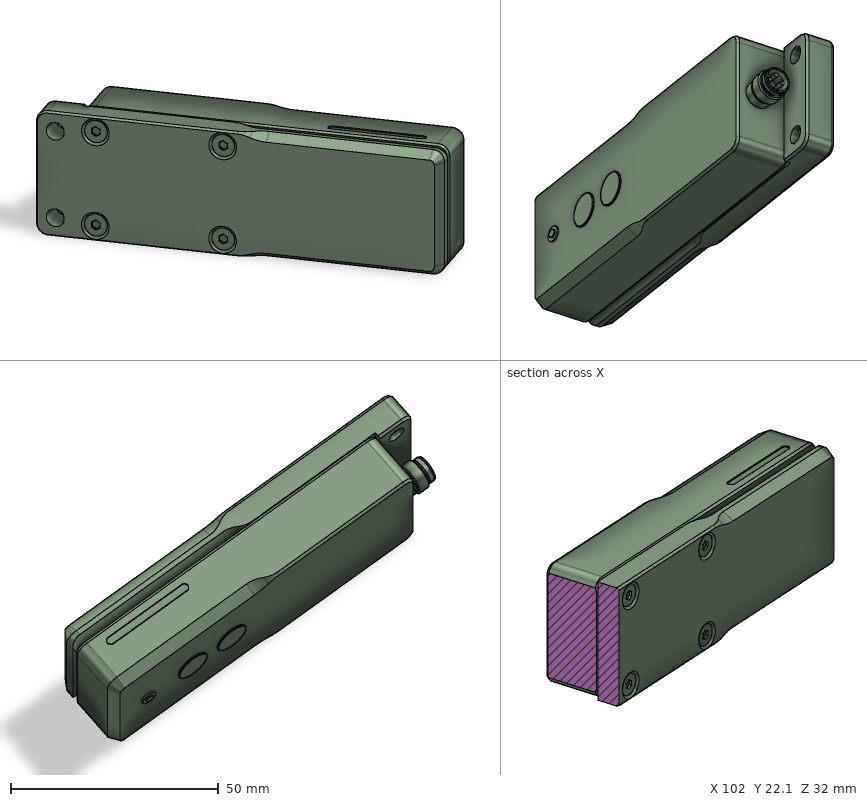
import cadquery as cq
import math


length = 102.0
half_width = 16.0
corner_radius = 3.0
draft_angle = 31.0
draft = math.tan(math.radians(draft_angle))
rim_depth = 0.7
bevel_depth = 2.9

plate_top = 8.1
seat_y = 6.3
plate_flare_start = 50.7
plate_flare_end = 57.9
mount_hole_diameter = 4.5
mount_hole_x = 4.9
mount_hole_z = 11.1

relief_drop = 2.1
relief_width = 4.8
relief_start = 47.7
relief_end = 55.1
relief_end_chamfer = 1.0

screw_columns = (15.0, 47.0)
screw_z = 12.0
countersink_diameter = 6.9
screw_head_diameter = 5.7
screw_recess = 0.5
hex_across_flats = 2.1
hex_depth = 0.6

housing_left = 10.0
housing_top = 21.4
housing_flare_start = 51.4
housing_flare_end = 59.2
side_slot_left = 70.5
side_slot_right = 95.2
side_slot_width = 2.0
side_slot_y = 10.0
side_slot_depth = 0.3

pad_centres = (66.2, 78.1)
pad_diameter = 8.7
pad_height = 0.4
pad_edge_chamfer = 0.2
lamp_x = 91.7
lamp_base_diameter = 4.0
lamp_lens_diameter = 2.1
lamp_height = 0.7

connector_y = 15.4
connector_tip = 1.3
body_diameter = 6.9
tip_diameter = 6.6
tip_ring_start = 1.8
tip_ring_end = 3.1
groove_diameter = 6.4
collar_diameter = 8.0
collar_start = 3.6
collar_end = 6.9
collar_chamfer = 0.36
root_start = 7.5
socket_diameter = 5.8
socket_depth = 4.6
pin_diameter = 1.0
pin_offset = 1.7
pin_recess = 0.6
key_hole_diameter = 1.6
key_hole_depth = 0.5
key_hole_x = 8.8


def level(y, toward=-1):
    """Sketch plane at height y whose normal points along toward * Y."""
    normal = (0, toward, 0)
    return cq.Workplane(cq.Plane(origin=(0, y, 0), xDir=(1, 0, 0), normal=normal))


def rounded_slab(left, y_low, y_high):
    """Full-width slab with rounded corners."""
    return (
        level(y_low, 1)
        .center((left + length) / 2, 0)
        .rect(length - left, 2 * half_width)
        .extrude(y_high - y_low)
        .edges("|Y")
        .fillet(corner_radius)
    )


def tapered_rim(left, y_base, toward, depth):
    """Cap that narrows by the draft angle from the slab outline at y_base."""
    outline = cq.Sketch().rect(length - left, 2 * half_width).vertices().fillet(corner_radius)
    return (
        level(y_base, toward)
        .center((left + length) / 2, 0)
        .placeSketch(outline)
        .extrude(depth, taper=draft_angle)
    )


def flared_cap(left, y_base, toward, flare_start, flare_end):
    """Cap with a narrow rim on the connector end that sweeps into the wide bevel beyond the flare."""
    spread = (bevel_depth - rim_depth) * draft
    wide = half_width + spread
    middle = (flare_start + flare_end) / 2
    half_flare = (flare_end - flare_start) / 2
    sweep_radius = (half_flare**2 + (spread / 2) ** 2) / spread
    left_radius = corner_radius + spread
    envelope = (
        level(y_base, toward)
        .moveTo(left - spread, -wide + left_radius)
        .lineTo(left - spread, wide - left_radius)
        .radiusArc((left - spread + left_radius, wide), left_radius)
        .lineTo(flare_start, wide)
        .radiusArc((middle, half_width + spread / 2), sweep_radius)
        .radiusArc((flare_end, half_width), -sweep_radius)
        .lineTo(length - corner_radius, half_width)
        .radiusArc((length, half_width - corner_radius), corner_radius)
        .lineTo(length, -half_width + corner_radius)
        .radiusArc((length - corner_radius, -half_width), corner_radius)
        .lineTo(flare_end, -half_width)
        .radiusArc((middle, -half_width - spread / 2), -sweep_radius)
        .radiusArc((flare_start, -wide), sweep_radius)
        .lineTo(left - spread + left_radius, -wide)
        .radiusArc((left - spread, -wide + left_radius), left_radius)
        .close()
        .extrude(bevel_depth, taper=draft_angle)
    )
    y_face = y_base + toward * bevel_depth
    return envelope.intersect(rounded_slab(left, min(y_base, y_face), max(y_base, y_face)))


def side_relief(side):
    """Wedge over one long edge of the plate: its flared side profile slides inward up the slope."""
    middle = (relief_start + relief_end) / 2
    half_run = (relief_end - relief_start) / 2
    sweep_radius = (half_run**2 + (relief_drop / 2) ** 2) / relief_drop
    profile = (
        cq.Workplane("XY", origin=(0, 0, side * half_width))
        .moveTo(relief_start, seat_y)
        .radiusArc((middle, seat_y - relief_drop / 2), sweep_radius)
        .radiusArc((relief_end, seat_y - relief_drop), -sweep_radius)
        .lineTo(length, seat_y - relief_drop)
        .lineTo(length, seat_y)
        .close()
    )
    slope = cq.Vector(0, relief_drop, -side * relief_width)
    return cq.Workplane(cq.Solid.extrudeLinear(profile.val(), [], slope))


def mounting_plate():
    plate = flared_cap(0, bevel_depth, -1, plate_flare_start, plate_flare_end)
    plate = plate.union(rounded_slab(0, bevel_depth, plate_top - rim_depth))
    plate = plate.union(tapered_rim(0, plate_top - rim_depth, 1, rim_depth))
    seat_cut = (
        level(seat_y, 1)
        .center((housing_left + length) / 2, 0)
        .rect(length - housing_left, 2 * half_width)
        .extrude(plate_top - seat_y)
    )
    plate = plate.cut(seat_cut)
    end_wedge = (
        cq.Workplane("XY", origin=(0, 0, -half_width))
        .moveTo(length, seat_y)
        .lineTo(length - relief_end_chamfer, seat_y)
        .lineTo(length, seat_y - relief_end_chamfer)
        .close()
        .extrude(2 * half_width)
    )
    plate = plate.cut(end_wedge)
    for side in (-1, 1):
        plate = plate.cut(side_relief(side))
    holes = (
        level(0, 1)
        .pushPoints([(mount_hole_x, -mount_hole_z), (mount_hole_x, mount_hole_z)])
        .circle(mount_hole_diameter / 2)
        .extrude(plate_top)
    )
    return plate.cut(holes)


def screw_recesses():
    """Conical countersinks ending on flat screw heads, each with a hexagon socket."""
    centres = [(x, z) for x in screw_columns for z in (-screw_z, screw_z)]
    taper = math.degrees(math.atan((countersink_diameter - screw_head_diameter) / 2 / screw_recess))
    hex_diameter = hex_across_flats / math.cos(math.pi / 6)
    cones = level(0, 1).pushPoints(centres).circle(countersink_diameter / 2).extrude(screw_recess, taper=taper)
    hexagon = cq.Sketch().regularPolygon(hex_diameter / 2, 6)
    sockets = level(screw_recess, 1).pushPoints(centres).placeSketch(hexagon).extrude(hex_depth)
    return cones.union(sockets)


def housing():
    lower_rim = seat_y + rim_depth
    upper_rim = housing_top - bevel_depth
    body = rounded_slab(housing_left, lower_rim, upper_rim)
    body = body.union(tapered_rim(housing_left, lower_rim, -1, rim_depth))
    body = body.union(flared_cap(housing_left, upper_rim, 1, housing_flare_start, housing_flare_end))
    slot_middle = (side_slot_left + side_slot_right) / 2
    side_slot = (
        cq.Workplane("XY", origin=(slot_middle, side_slot_y, half_width))
        .slot2D(side_slot_right - side_slot_left, side_slot_width)
        .extrude(-side_slot_depth)
    )
    return body.cut(side_slot)


def top_controls():
    """Two push pads and a stepped lamp."""
    centres = [(x, 0) for x in pad_centres]
    pads = level(housing_top, 1).pushPoints(centres).circle(pad_diameter / 2).extrude(pad_height)
    pads = pads.faces(">Y").edges().chamfer(pad_edge_chamfer)
    base = level(housing_top, 1).center(lamp_x, 0).circle(lamp_base_diameter / 2).extrude(pad_height)
    lens = level(housing_top, 1).center(lamp_x, 0).circle(lamp_lens_diameter / 2).extrude(lamp_height)
    return pads.union(base).union(lens)


def connector_stretch(x_start, x_end, diameter):
    """Solid cylinder along the connector axis."""
    return (
        cq.Workplane("YZ", origin=(x_start, connector_y, 0))
        .circle(diameter / 2)
        .extrude(x_end - x_start)
    )


def connector():
    anchor = housing_left + corner_radius
    plug = connector_stretch(connector_tip, anchor, groove_diameter)
    plug = plug.union(connector_stretch(connector_tip, tip_ring_start, tip_diameter))
    plug = plug.union(connector_stretch(tip_ring_start, tip_ring_end, body_diameter))
    collar = connector_stretch(collar_start, collar_end, collar_diameter)
    plug = plug.union(collar.edges().chamfer(collar_chamfer))
    plug = plug.union(connector_stretch(root_start, anchor, body_diameter))
    plug = plug.cut(connector_stretch(connector_tip, connector_tip + socket_depth, socket_diameter))
    pins = (
        cq.Workplane("YZ", origin=(connector_tip + pin_recess, connector_y, 0))
        .pushPoints([(-pin_offset, 0), (pin_offset, 0), (0, pin_offset)])
        .circle(pin_diameter / 2)
        .extrude(socket_depth)
    )
    key_direction = cq.Vector(0, -1, 1).normalized()
    key_centre = cq.Vector(key_hole_x, connector_y, 0) + key_direction * (body_diameter / 2)
    key_hole = (
        cq.Workplane(cq.Plane(origin=key_centre, xDir=(1, 0, 0), normal=key_direction))
        .circle(key_hole_diameter / 2)
        .extrude(-key_hole_depth)
    )
    return plug.union(pins).cut(key_hole)


result = mounting_plate().cut(screw_recesses()).union(housing()).union(top_controls()).union(connector())